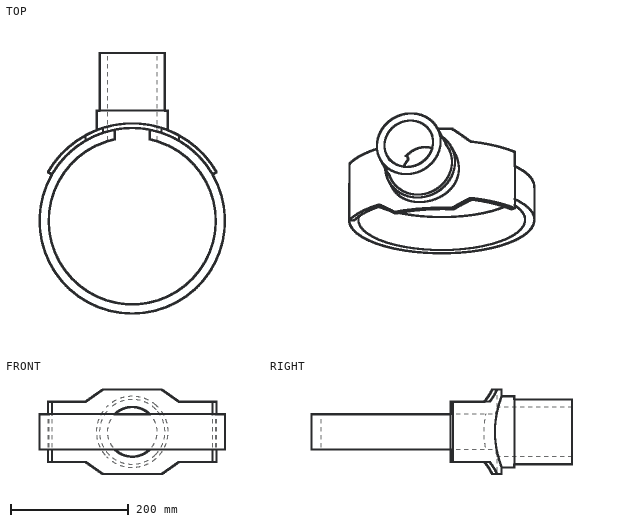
import cadquery as cq
import math

total_length = 442.5
ring_radius = 157.5
ring_wall = 16.0
ring_height = 60.0

saddle_wall = 8.0
saddle_radius = ring_radius + saddle_wall
saddle_half_angle = math.radians(60)
wing_height = 102.5
pad_height = 144.0
pad_top_half_width = 50.0
pad_base_half_width = 79.0

pipe_diameter = 110.5
bore_diameter = 84.0
collar_diameter = 121.2
collar_end = 187.0
pipe_end = total_length - ring_radius


def cylinder_along_y(diameter, length):
    """Cylinder from the ring axis out to the given Y."""
    return cq.Workplane("XZ").circle(diameter / 2).extrude(-length)


def make_ring():
    profile = cq.Workplane("XY").circle(ring_radius).circle(ring_radius - ring_wall)
    return profile.extrude(ring_height / 2, both=True)


def make_saddle():
    """Curved plate on the outside of the ring, taller around the pipe."""
    def arc_point(radius, side):
        return (
            side * radius * math.sin(saddle_half_angle),
            radius * math.cos(saddle_half_angle),
        )

    shell = (
        cq.Workplane("XY")
        .moveTo(*arc_point(saddle_radius, -1))
        .threePointArc((0, saddle_radius), arc_point(saddle_radius, 1))
        .lineTo(*arc_point(ring_radius, 1))
        .threePointArc((0, ring_radius), arc_point(ring_radius, -1))
        .close()
        .extrude(pad_height / 2, both=True)
    )
    wing = wing_height / 2
    pad = pad_height / 2
    upper_edge = [
        (-saddle_radius, wing),
        (-pad_base_half_width, wing),
        (-pad_top_half_width, pad),
        (pad_top_half_width, pad),
        (pad_base_half_width, wing),
        (saddle_radius, wing),
    ]
    lower_edge = [(x, -z) for x, z in reversed(upper_edge)]
    outline = cq.Workplane("XZ").polyline(upper_edge + lower_edge).close().extrude(-saddle_radius)
    return shell.intersect(outline)


def make_pipe():
    """Pipe and collar, trimmed to the outside of the ring."""
    pipe = cylinder_along_y(pipe_diameter, pipe_end)
    collar = cylinder_along_y(collar_diameter, collar_end)
    ring_space = cq.Workplane("XY").circle(ring_radius).extrude(pad_height, both=True)
    return pipe.union(collar).cut(ring_space)


bore = cylinder_along_y(bore_diameter, pipe_end)
result = make_ring().union(make_saddle()).union(make_pipe()).cut(bore)